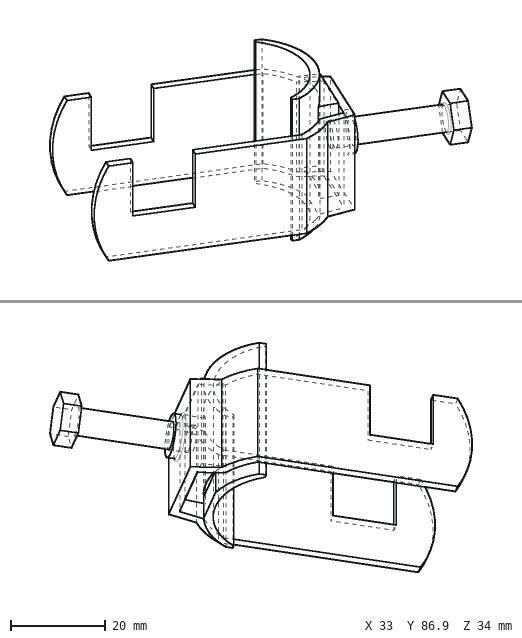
import cadquery as cq
import math


overall_length = 86.9
bracket_width = 33.0
sheet_thickness = 2.0
crown_y = 60.0
crown_half_width = 9.1
shoulder_half_width = 10.6
bracket_top_z = 8.9
bracket_bottom_z = -13.9
hook_corner_y = 3.2
slot_front_y = 8.6
slot_back_y = 22.4
slot_floor_z = -3.9
collar_diameter = 9.5
collar_height = 2.0
collar_fillet = 0.5

shank_diameter = 6.0
head_across_flats = 10.0
head_thickness = 4.0
head_fillet = 0.4

block_back_y = 57.0
block_half_height = 11.0
block_back_width = 13.9
block_front_width = 14.6

saddle_outer_radius = 16.3
saddle_inner_radius = 15.4
saddle_thickness = 2.1
saddle_width = 28.1
saddle_tip_y = 44.6
saddle_height = 34.0
saddle_top_z = 17.4
saddle_flat_depth = 0.8

pipe_axis_y = 37.8
shoulder_radius = 18.95
saddle_crown_y = pipe_axis_y + saddle_outer_radius

TOWARDS_PLUS_Y = -1


def on_shoulder(x):
    """Point of the outer shoulder arc at a given X."""
    rise = math.sqrt(shoulder_radius**2 - x**2)
    return (x, pipe_axis_y + rise)


def bracket_arch():
    """Closed outer outline of the arch, seen along Z, run past the hook ends."""
    leg_x = bracket_width / 2
    mid_x = (leg_x + shoulder_half_width) / 2
    end_y = -2 * sheet_thickness
    return (
        cq.Workplane("XY", origin=(0, 0, bracket_bottom_z))
        .moveTo(-leg_x, end_y)
        .lineTo(*on_shoulder(-leg_x))
        .threePointArc(on_shoulder(-mid_x), on_shoulder(-shoulder_half_width))
        .lineTo(-crown_half_width, crown_y)
        .lineTo(crown_half_width, crown_y)
        .lineTo(*on_shoulder(shoulder_half_width))
        .threePointArc(on_shoulder(mid_x), on_shoulder(leg_x))
        .lineTo(leg_x, end_y)
        .close()
    )


def bracket_side():
    """Side silhouette across both legs, with the rounded hook end and the slot."""
    mid_z = (bracket_top_z + bracket_bottom_z) / 2
    return (
        cq.Workplane("YZ")
        .moveTo(crown_y, bracket_bottom_z)
        .lineTo(hook_corner_y, bracket_bottom_z)
        .threePointArc((0, mid_z), (hook_corner_y, bracket_top_z))
        .lineTo(slot_front_y, bracket_top_z)
        .lineTo(slot_front_y, slot_floor_z)
        .lineTo(slot_back_y, slot_floor_z)
        .lineTo(slot_back_y, bracket_top_z)
        .lineTo(crown_y, bracket_top_z)
        .close()
        .extrude(bracket_width / 2, both=True)
    )


def make_bracket():
    height = bracket_top_z - bracket_bottom_z
    outside = bracket_arch().extrude(height)
    inside = bracket_arch().offset2D(-sheet_thickness, "intersection").extrude(height)
    sheet = outside.cut(inside).intersect(bracket_side())

    collar_base = cq.Workplane("XZ", origin=(0, crown_y, 0))
    collar = collar_base.circle(collar_diameter / 2).extrude(TOWARDS_PLUS_Y * collar_height)
    base_edge = cq.selectors.BoxSelector(
        (-collar_diameter, crown_y - collar_fillet, -collar_diameter),
        (collar_diameter, crown_y + collar_fillet, collar_diameter),
    )
    body = sheet.union(collar).edges("%CIRCLE").edges(base_edge).fillet(collar_fillet)

    bolt_hole = (
        cq.Workplane("XZ", origin=(0, crown_y - sheet_thickness, 0))
        .circle(shank_diameter / 2)
        .extrude(TOWARDS_PLUS_Y * (sheet_thickness + collar_height))
    )
    return body.cut(bolt_hole)


def make_bolt():
    """Hexagon bolt whose end presses on the back of the block."""
    head_under_y = overall_length - head_thickness
    across_corners = head_across_flats / math.cos(math.pi / 6)
    head = (
        cq.Workplane("XZ", origin=(0, head_under_y, 0))
        .polygon(6, across_corners)
        .extrude(TOWARDS_PLUS_Y * head_thickness)
    )
    shank = (
        cq.Workplane("XZ", origin=(0, block_back_y, 0))
        .circle(shank_diameter / 2)
        .extrude(TOWARDS_PLUS_Y * (head_under_y - block_back_y))
    )
    under_head = cq.selectors.NearestToPointSelector((0, head_under_y, 0))
    return head.union(shank).edges("%CIRCLE").edges(under_head).fillet(head_fillet)


def make_block():
    """Tapered block with its front hollowed to sit on the outside of the saddle."""
    front_y = pipe_axis_y + math.sqrt(saddle_outer_radius**2 - (block_front_width / 2) ** 2)
    back_x = block_back_width / 2
    front_x = block_front_width / 2
    return (
        cq.Workplane("XY")
        .moveTo(-back_x, block_back_y)
        .lineTo(back_x, block_back_y)
        .lineTo(front_x, front_y)
        .threePointArc((0, saddle_crown_y), (-front_x, front_y))
        .close()
        .extrude(block_half_height, both=True)
    )


def make_saddle():
    """Pipe trough that thins towards its trimmed tips, with a flat on its back below the block."""
    bottom_z = saddle_top_z - saddle_height
    half_width = saddle_width / 2
    inner_axis_y = saddle_crown_y - saddle_thickness - saddle_inner_radius
    plane = cq.Workplane("XY", origin=(0, 0, bottom_z))

    outer = plane.center(0, pipe_axis_y).circle(saddle_outer_radius).extrude(saddle_height)
    inner = plane.center(0, inner_axis_y).circle(saddle_inner_radius).extrude(saddle_height)
    trim = (
        plane.moveTo(-half_width, saddle_tip_y)
        .lineTo(half_width, saddle_tip_y)
        .lineTo(half_width, saddle_crown_y)
        .lineTo(-half_width, saddle_crown_y)
        .close()
        .extrude(saddle_height)
    )
    flat = (
        plane.center(0, saddle_crown_y)
        .rect(saddle_width, 2 * saddle_flat_depth)
        .extrude(-block_half_height - bottom_z)
    )
    return outer.cut(inner).intersect(trim).cut(flat)


bracket = make_bracket()
bolt = make_bolt()
block = make_block()
saddle = make_saddle()

bodies = [bracket, bolt, block, saddle]
result = cq.Compound.makeCompound([body.solids().val() for body in bodies])